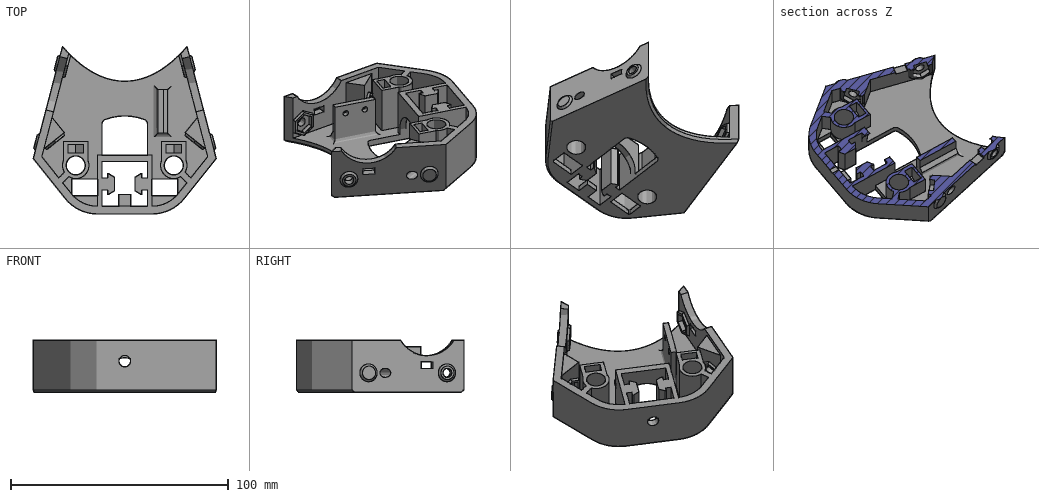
import cadquery as cq
import math

height = 24.0
half_width = 42.0
corner_y = 25.5
tip_x = 28.6
tip_y = 76.89
rear_mid_y = 61.0
front_half = 12.5
front_radius = 19.0
wall = 3.6
floor = 3.0
front_chamfer_width = 1.0
front_chamfer_height = 1.2
rear_chamfer = 1.2
cut_margin = 1.0
far = 20.0

side_length = math.hypot(half_width - tip_x, tip_y - corner_y)
side_along = ((tip_x - half_width) / side_length, (tip_y - corner_y) / side_length)
side_out = (side_along[1], -side_along[0])

rear_semi_width = 70.0
rear_semi_depth = (tip_y - rear_mid_y) / (1 - math.sqrt(1 - (tip_x / rear_semi_width) ** 2))

corner_dx = half_width - front_half
corner_dy = corner_y - front_radius
slope_angle = math.atan2(corner_dy, corner_dx) + math.asin(front_radius / math.hypot(corner_dx, corner_dy))
arc_end = (
    front_half + front_radius * math.sin(slope_angle),
    front_radius * (1 - math.cos(slope_angle)),
)
arc_middle = (
    front_half + front_radius * math.sin(slope_angle / 2),
    front_radius * (1 - math.cos(slope_angle / 2)),
)

peg_places = (7.8, 45.0)
peg_z = 9.0
peg_base_diameter = 8.2
peg_tip_diameter = 6.2
peg_height = 1.0
screw_diameter = 4.1
rim_base_flats = 11.3
rim_top_flats = 10.3
rim_height = 1.1
nut_across_flats = 8.2
nut_depth = 2.2
notch_along = 35.7
notch_radius = 14.8
notch_bottom = 16.9
slot_length = 5.6
slot_bottom = 11.0
slot_height = 3.0

wedge_face_center = (32.35, 33.7)
wedge_face_width = 11.75
wedge_top = 22.0
wedge_reach = 20.0

socket_outer_y = 27.05
socket_inner_y = 24.1
socket_inner_half = 10.35
arch_center_z = 5.5
rail_half_width = 2.85
rail_center_y = 13.8
rail_neck_x = 7.9
rail_face_x = 4.6
rail_head_x = 7.3
rail_head_half = 4.72
rail_face_half = 3.1
tongue_half = 2.85
tongue_end_y = 9.1
front_hole_diameter = 5.2
front_hole_z = 14.4

window_end_y = 45.0
window_end_radius = 25.0
window_corner_radius = 2.0
pocket_x = 24.3
pocket_start_y = 8.5
pocket_end_y = 16.05

post_x = 22.5
post_y = 22.35
post_diameter = 12.1
post_hole_diameter = 8.6
post_block_width = 11.1
post_block_end_y = 33.3
trap_width = 7.3
trap_start_y = 28.1
trap_end_y = 31.95
trap_slope = 32.0
rib_width = 2.9
rib_reach = 12.0
rib_angle = -45.0

plate_x = 15.2
plate_thickness = 2.65
plate_base_thickness = 4.5
plate_start_y = 37.1
plate_end_y = 57.1
plate_top = 21.0
plate_fillet = 1.9
shoulder_bottom = 5.0
plate_hole_diameter = 2.6
plate_hole_spacing = 9.5
plate_hole_z = 16.8


def both_sides(shape):
    """The shape together with its mirror image across X = 0."""
    return shape.union(shape.mirror("YZ"))


def block(x0, x1, y0, y1, z0, z1):
    return cq.Workplane("XY").box(x1 - x0, y1 - y0, z1 - z0, centered=False).translate((x0, y0, z0))


def side_plane(depth=0.0):
    """Plane of the right side wall, sunk below its outer face; local X runs along the wall, local Y is Z."""
    origin = (half_width - depth * side_out[0], corner_y - depth * side_out[1], 0)
    return cq.Workplane(cq.Plane(origin, xDir=(*side_along, 0), normal=(*side_out, 0)))


def shell_outline():
    """Outer outline, with the side walls carried on past the rear tips."""
    end_x = tip_x + far * side_along[0]
    end_y = tip_y + far * side_along[1]
    return (
        cq.Workplane("XY")
        .moveTo(-front_half, 0)
        .lineTo(front_half, 0)
        .threePointArc(arc_middle, arc_end)
        .lineTo(half_width, corner_y)
        .lineTo(end_x, end_y)
        .lineTo(-end_x, end_y)
        .lineTo(-half_width, corner_y)
        .lineTo(-arc_end[0], arc_end[1])
        .threePointArc((-arc_middle[0], arc_middle[1]), (-front_half, 0))
        .close()
    )


def envelope():
    """Solid outer form, with the underside chamfered along the front, sloped and rear edges."""
    rear_cut = (
        cq.Workplane("XY")
        .center(0, rear_mid_y + rear_semi_depth)
        .ellipse(rear_semi_width, rear_semi_depth)
        .extrude(height)
    )
    front_edges = cq.selectors.BoxSelector((-half_width, -cut_margin, -1), (half_width, corner_y, 1))
    rear_edge = cq.selectors.BoxSelector((-cut_margin, corner_y, -1), (cut_margin, tip_y, 1))
    body = shell_outline().extrude(height).cut(rear_cut)
    body = body.faces("<Z").edges(front_edges).chamfer(front_chamfer_height, front_chamfer_width)
    return body.faces("<Z").edges(rear_edge).chamfer(rear_chamfer)


def cavity():
    return shell_outline().offset2D(-wall).extrude(height).translate((0, 0, floor))


def floor_pockets():
    """Openings through the floor beside the socket, bounded by the inside of the walls."""
    pocket = block(front_half, pocket_x, pocket_start_y, pocket_end_y, 0, floor)
    return both_sides(pocket).intersect(cavity().translate((0, 0, -floor)))


def hex_rim(plane):
    """Hexagonal nut rim rising from the plane, one corner upwards."""
    corner_diameter = rim_base_flats / math.cos(math.pi / 6)
    taper = math.degrees(math.atan2((rim_base_flats - rim_top_flats) / 2, rim_height))
    return plane.transformed(rotate=(0, 0, 90)).polygon(6, corner_diameter).extrude(rim_height, taper=taper)


def nut_recess(plane):
    """Nut pocket sunk from the top of a rim that stands on the plane."""
    corner_diameter = nut_across_flats / math.cos(math.pi / 6)
    return (
        plane.transformed(rotate=(0, 0, 90))
        .workplane(offset=rim_height - nut_depth)
        .polygon(6, corner_diameter)
        .extrude(nut_depth)
    )


def pegs():
    """Conical locating pegs on the outside of the side wall."""
    taper = math.degrees(math.atan2((peg_base_diameter - peg_tip_diameter) / 2, peg_height))
    return (
        side_plane()
        .pushPoints([(along, peg_z) for along in peg_places])
        .circle(peg_base_diameter / 2)
        .extrude(peg_height, taper=taper)
    )


def rear_nut_plane():
    """Inner face of the side wall at the rear peg, facing into the shell."""
    inner = side_plane(wall).center(peg_places[1], peg_z)
    return inner.transformed(rotate=(0, 180, 0))


def side_cuts():
    """Screw hole with nut recess, slot and arched notch through the side wall."""
    depth = wall + rim_height + cut_margin
    length = depth + peg_height + cut_margin
    inner = side_plane(depth)
    hole = inner.center(peg_places[1], peg_z).circle(screw_diameter / 2).extrude(length)
    inner = side_plane(depth)
    slot = inner.center(notch_along, slot_bottom + slot_height / 2).rect(slot_length, slot_height).extrude(length)
    inner = side_plane(depth)
    notch = inner.center(notch_along, notch_bottom + notch_radius).circle(notch_radius).extrude(length)
    return hole.union(slot).union(notch).union(nut_recess(rear_nut_plane()))


def wedge_plane():
    """Front face of the wedge block, facing along the sloped wall towards the front."""
    normal = (-math.cos(slope_angle), -math.sin(slope_angle), 0)
    along = (-normal[1], normal[0], 0)
    return cq.Workplane(cq.Plane((*wedge_face_center, peg_z), xDir=along, normal=normal))


def wedge():
    face = wedge_plane()
    body = face.center(0, wedge_top / 2 - peg_z).rect(wedge_face_width, wedge_top).extrude(-wedge_reach)
    return body.union(hex_rim(wedge_plane()))


def wedge_cuts():
    hole = wedge_plane().workplane(offset=rim_height).circle(screw_diameter / 2).extrude(-wedge_reach)
    return hole.union(nut_recess(wedge_plane()))


def socket():
    """Square socket walls with a pair of T-shaped rails facing each other."""
    walls = block(-front_half, front_half, 0, socket_outer_y, 0, height)
    walls = walls.cut(block(-socket_inner_half, socket_inner_half, wall, socket_inner_y, 0, height))
    rail = (
        cq.Workplane("XY")
        .moveTo(socket_inner_half, -rail_half_width)
        .lineTo(rail_neck_x, -rail_half_width)
        .lineTo(rail_neck_x, -rail_head_half)
        .lineTo(rail_head_x, -rail_head_half)
        .lineTo(rail_face_x, -rail_face_half)
        .lineTo(rail_face_x, rail_face_half)
        .lineTo(rail_head_x, rail_head_half)
        .lineTo(rail_neck_x, rail_head_half)
        .lineTo(rail_neck_x, rail_half_width)
        .lineTo(socket_inner_half, rail_half_width)
        .close()
        .extrude(height)
        .translate((0, rail_center_y, 0))
    )
    tongue = block(-tongue_half, tongue_half, 0, tongue_end_y, 0, floor)
    return walls.union(both_sides(rail)).union(tongue)


def socket_cuts():
    """Arched opening through the rear socket wall, and the screw hole in the front wall."""
    arch = (
        cq.Workplane("XZ", origin=(0, socket_outer_y, 0))
        .moveTo(-socket_inner_half, 0)
        .lineTo(-socket_inner_half, arch_center_z)
        .threePointArc((0, arch_center_z + socket_inner_half), (socket_inner_half, arch_center_z))
        .lineTo(socket_inner_half, 0)
        .close()
        .extrude(socket_outer_y - socket_inner_y)
    )
    hole = cq.Workplane("XZ").center(0, front_hole_z).circle(front_hole_diameter / 2).extrude(-wall)
    return arch.union(hole)


def floor_window():
    """Opening through the floor from the socket to a bowed rear end with rounded corners."""
    window = block(-socket_inner_half, socket_inner_half, wall, window_end_y, 0, floor)
    bow = cq.Workplane("XY").center(0, window_end_y - window_end_radius).circle(window_end_radius).extrude(floor)
    return window.intersect(bow).edges("|Z").edges(">Y").fillet(window_corner_radius)


def post():
    """Round screw post with a square block behind it and a diagonal rib to the sloped wall."""
    barrel = cq.Workplane("XY").center(post_x, post_y).circle(post_diameter / 2).extrude(height)
    half_block = post_block_width / 2
    back = block(post_x - half_block, post_x + half_block, post_y, post_block_end_y, 0, height)
    rib = (
        block(0, rib_reach, -rib_width / 2, rib_width / 2, 0, height)
        .rotate((0, 0, 0), (0, 0, 1), rib_angle)
        .translate((post_x, post_y, 0))
    )
    return barrel.union(back).union(rib)


def post_cuts():
    """Screw hole through the post, and a pocket whose V-shaped bottom ends at the floor."""
    hole = cq.Workplane("XY").center(post_x, post_y).circle(post_hole_diameter / 2).extrude(height)
    half_trap = trap_width / 2
    trap_rise = half_trap * math.tan(math.radians(trap_slope))
    trap = (
        cq.Workplane("XZ", origin=(post_x, trap_end_y, 0))
        .moveTo(0, floor)
        .lineTo(half_trap, floor + trap_rise)
        .lineTo(half_trap, height)
        .lineTo(-half_trap, height)
        .lineTo(-half_trap, floor + trap_rise)
        .close()
        .extrude(trap_end_y - trap_start_y)
    )
    return hole.union(trap)


def flare(plane, start, end):
    """Bar between start and end whose foot widens in a concave fillet on both sides."""
    bend = plate_fillet * (1 - math.sqrt(0.5))
    fillet_top = floor + plate_fillet
    return (
        plane.moveTo(start - plate_fillet, floor)
        .threePointArc((start - bend, floor + bend), (start, fillet_top))
        .lineTo(end, fillet_top)
        .threePointArc((end + bend, floor + bend), (end + plate_fillet, floor))
        .close()
    )


def switch_plate():
    """Drilled plate on a thicker foot, with mitred concave fillets down to the floor."""
    base_x = plate_x + plate_base_thickness
    across = flare(cq.Workplane("XZ"), plate_x, base_x).extrude(-tip_y)
    lengthwise = flare(cq.Workplane("YZ"), plate_start_y, plate_end_y).extrude(half_width)
    thin_x = plate_x + plate_thickness
    plate = (
        cq.Workplane("XZ", origin=(0, plate_end_y, 0))
        .moveTo(plate_x, floor)
        .lineTo(base_x, floor)
        .lineTo(base_x, shoulder_bottom)
        .lineTo(thin_x, shoulder_bottom + base_x - thin_x)
        .lineTo(thin_x, plate_top)
        .lineTo(plate_x, plate_top)
        .close()
        .extrude(plate_end_y - plate_start_y)
    )
    hole_y = (plate_start_y + plate_end_y) / 2
    holes = (
        cq.Workplane("YZ", origin=(plate_x, hole_y, plate_hole_z))
        .pushPoints([(-plate_hole_spacing / 2, 0), (plate_hole_spacing / 2, 0)])
        .circle(plate_hole_diameter / 2)
        .extrude(plate_thickness)
    )
    return plate.union(across.intersect(lengthwise)).cut(holes)


outer = envelope()
shell = outer.cut(cavity()).cut(floor_pockets()).cut(floor_window())
inside = socket().union(both_sides(post())).union(both_sides(wedge())).union(switch_plate())
inside = inside.union(both_sides(hex_rim(rear_nut_plane()))).intersect(outer)
result = shell.union(inside).union(both_sides(pegs()))
result = result.cut(socket_cuts())
for cuts in (post_cuts(), side_cuts(), wedge_cuts()):
    result = result.cut(both_sides(cuts))